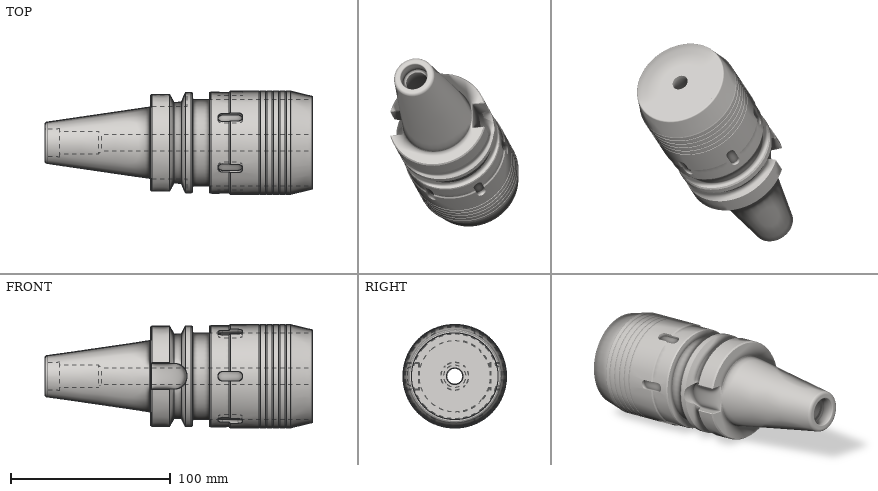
import cadquery as cq
total_length = 167.4

taper_end_radius = 12.7
gauge_radius = 22.3
gauge_x = 65.3
shank_end_fillet = 1.8

flange_start_x = 66.1
flange_radius = 31.5
rim_chamfer_length = 1.0
rim_chamfer_depth = 0.7
rim_edge_radius = flange_radius - rim_chamfer_depth
v_groove_front_x = 77.8
v_groove_floor_start_x = 80.7
v_groove_floor_end_x = 85.4
v_groove_back_x = 87.9
v_groove_floor_radius = 26.5
flange_end_x = 92.4
flange_root_fillet = 0.5

key_slot_width = 16.0
key_slot_floor = 22.6
key_slot_end_x = 88.9
key_slot_chamfer = 0.42

barrel_radius = 27.1

pilot_radius = 8.5
pilot_depth = 7.0
mouth_fillet = 0.7
relief_radius = 8.79
relief_start_depth = 8.0
relief_end_depth = 9.2
thread_radius = 6.95
thread_depth = 33.5
through_radius = 5.0
drill_tip_length = thread_radius - through_radius

nut_start_x = 103.0
collar_radius = 31.6
collar_chamfer_length = 1.0
collar_chamfer_depth = 0.3
grip_start_x = 115.2
grip_radius = 32.4
grip_chamfer_length = 0.8
grip_end_x = 153.5
nose_start_x = 154.0
nose_start_radius = 32.1
nose_bend = (160.2, 30.6)
nose_end_radius = 29.0
nose_fillet = 0.8

grip_groove_count = 5
grip_groove_first_x = 134.5
grip_groove_pitch = 4.0
grip_groove_width = 1.0
grip_groove_depth = 0.3

wrench_slot_count = 6
wrench_slot_start_x = 108.1
wrench_slot_end_x = 123.7
wrench_slot_width = 5.9
wrench_slot_floor = 29.5


def revolve_about_x(profile):
    """Turn a closed (x, radius) profile around the X axis."""
    return profile.close().revolve(360, (0, 0, 0), (1, 0, 0))


def make_holder_blank():
    profile = cq.Workplane("XY").polyline([
        (0, 0),
        (0, taper_end_radius),
        (gauge_x, gauge_radius),
        (flange_start_x, gauge_radius),
        (flange_start_x, rim_edge_radius),
        (flange_start_x + rim_chamfer_length, flange_radius),
        (v_groove_front_x, flange_radius),
        (v_groove_floor_start_x, v_groove_floor_radius),
        (v_groove_floor_end_x, v_groove_floor_radius),
        (v_groove_back_x, flange_radius),
        (flange_end_x - rim_chamfer_length, flange_radius),
        (flange_end_x, rim_edge_radius),
        (flange_end_x, barrel_radius),
        (total_length, barrel_radius),
        (total_length, 0),
    ])
    return revolve_about_x(profile).faces("<X").edges().fillet(shank_end_fillet)


def fillet_flange_roots(holder):
    """Round the inner corners where the shank and the barrel meet the flange."""
    margin = 0.2
    for face_x in (flange_start_x, flange_end_x):
        at_face = cq.selectors.BoxSelector(
            (face_x - margin, -margin, -margin), (face_x + margin, margin, margin)
        )
        root = holder.edges(at_face).edges(cq.selectors.RadiusNthSelector(0))
        holder = root.fillet(flange_root_fillet)
    return holder


def make_rear_bore():
    profile = cq.Workplane("XY").polyline([
        (0, 0),
        (0, pilot_radius),
        (pilot_depth, pilot_radius),
        (relief_start_depth, relief_radius),
        (relief_end_depth, relief_radius),
        (relief_end_depth, thread_radius),
        (thread_depth, thread_radius),
        (thread_depth + drill_tip_length, through_radius),
        (total_length, through_radius),
        (total_length, 0),
    ])
    return revolve_about_x(profile)


def make_key_slot():
    """Round-ended slot on the +Y side, open to the rear."""
    half_width = key_slot_width / 2
    straight_end_x = key_slot_end_x - half_width
    outline = (
        cq.Workplane("XZ", origin=(0, key_slot_floor, 0))
        .moveTo(gauge_x, -half_width)
        .lineTo(straight_end_x, -half_width)
        .threePointArc((key_slot_end_x, 0), (straight_end_x, half_width))
        .lineTo(gauge_x, half_width)
        .close()
    )
    return outline.extrude(-flange_radius)


def make_key_slot_bevel():
    """Bevel around the rear opening of the +Y key slot."""
    wide = key_slot_width + 2 * key_slot_chamfer
    deep_floor = key_slot_floor - key_slot_chamfer
    height = flange_radius
    opening = cq.Workplane("YZ", origin=(flange_start_x, deep_floor + height / 2, 0)).rect(height, wide)
    inner_shift = key_slot_chamfer / 2
    return (
        opening.workplane(offset=key_slot_chamfer)
        .center(inner_shift, 0)
        .rect(height - key_slot_chamfer, key_slot_width)
        .loft(ruled=True)
    )


def chamfer_key_slot_rims(holder):
    """Bevel the lengthwise edges where the key slots break the flange rim."""
    for side in (1, -1):
        rim = cq.selectors.BoxSelector(
            (flange_start_x, side * v_groove_floor_radius, -key_slot_width),
            (v_groove_front_x, side * flange_radius, key_slot_width),
        )
        holder = holder.edges("|X").edges(rim).chamfer(key_slot_chamfer)
    return holder


def cut_on_both_sides(body, cutter):
    return body.cut(cutter).cut(cutter.mirror("XZ"))


def make_holder():
    holder = fillet_flange_roots(make_holder_blank()).cut(make_rear_bore())
    holder = holder.faces("<X").edges(cq.selectors.RadiusNthSelector(0)).fillet(mouth_fillet)
    holder = cut_on_both_sides(holder, make_key_slot())
    holder = chamfer_key_slot_rims(holder)
    return cut_on_both_sides(holder, make_key_slot_bevel())


def make_nut_blank():
    profile = (
        cq.Workplane("XY")
        .moveTo(nut_start_x, barrel_radius)
        .lineTo(nut_start_x, collar_radius - collar_chamfer_depth)
        .lineTo(nut_start_x + collar_chamfer_length, collar_radius)
        .lineTo(grip_start_x, collar_radius)
        .lineTo(grip_start_x + grip_chamfer_length, grip_radius)
        .lineTo(grip_end_x, grip_radius)
        .lineTo(nose_start_x, nose_start_radius)
        .threePointArc(nose_bend, (total_length, nose_end_radius))
        .lineTo(total_length, barrel_radius)
    )
    nut = revolve_about_x(profile)
    return nut.faces(">X").edges(cq.selectors.RadiusNthSelector(-1)).fillet(nose_fillet)


def make_grip_groove(center_x):
    return (
        cq.Workplane("YZ", origin=(center_x - grip_groove_width / 2, 0, 0))
        .circle(grip_radius + grip_groove_depth)
        .circle(grip_radius - grip_groove_depth)
        .extrude(grip_groove_width)
    )


def make_wrench_slot():
    """Round-ended slot with a flat floor, on the -Y side."""
    middle_x = (wrench_slot_start_x + wrench_slot_end_x) / 2
    return (
        cq.Workplane("XZ", origin=(middle_x, -wrench_slot_floor, 0))
        .slot2D(wrench_slot_end_x - wrench_slot_start_x, wrench_slot_width)
        .extrude(grip_radius)
    )


def make_nut():
    nut = make_nut_blank()
    for index in range(grip_groove_count):
        nut = nut.cut(make_grip_groove(grip_groove_first_x + index * grip_groove_pitch))
    for index in range(wrench_slot_count):
        angle = index * 360 / wrench_slot_count
        nut = nut.cut(make_wrench_slot().rotate((0, 0, 0), (1, 0, 0), angle))
    return nut


holder = make_holder()
nut = make_nut()

result = cq.Compound.makeCompound([holder.val(), nut.val()])